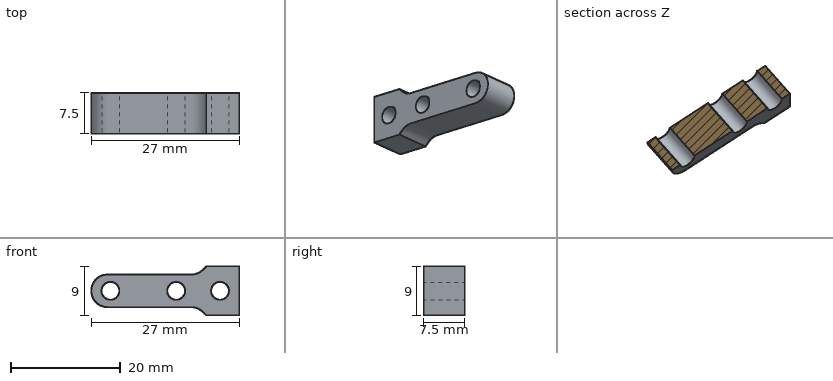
import cadquery as cq
import math

length = 27.0
thickness = 7.5
head_height = 9.0
head_length = 6.0
arm_height = 6.0

nose_radius = arm_height / 2
flare_radius = 3.0
flare_angle = math.radians(45)

hole_diameter = 3.2
hole_positions = [3.5, 15.5, 23.5]

head_start = length - head_length
arm_half = arm_height / 2
head_half = head_height / 2
arc_rise = flare_radius * (1 - math.cos(flare_angle))
arc_run = flare_radius * math.sin(flare_angle)
slope_rise = head_half - arm_half - arc_rise
slope_start = head_start - slope_rise / math.tan(flare_angle)
flare_start = slope_start - arc_run
slope_base = arm_half + arc_rise
arc_mid_x = flare_start + flare_radius * math.sin(flare_angle / 2)
arc_mid_z = arm_half + flare_radius * (1 - math.cos(flare_angle / 2))


def make_body():
    """Extrude the side outline, front face on Y = 0, going toward +Y."""
    return (
        cq.Workplane("XZ")
        .moveTo(nose_radius, arm_half)
        .lineTo(flare_start, arm_half)
        .threePointArc((arc_mid_x, arc_mid_z), (slope_start, slope_base))
        .lineTo(head_start, head_half)
        .lineTo(length, head_half)
        .lineTo(length, -head_half)
        .lineTo(head_start, -head_half)
        .lineTo(slope_start, -slope_base)
        .threePointArc((arc_mid_x, -arc_mid_z), (flare_start, -arm_half))
        .lineTo(nose_radius, -arm_half)
        .threePointArc((0, 0), (nose_radius, arm_half))
        .close()
        .extrude(-thickness)
    )


def make_holes():
    """Pins that cut the row of through holes along Y."""
    return (
        cq.Workplane("XZ")
        .pushPoints([(x, 0) for x in hole_positions])
        .circle(hole_diameter / 2)
        .extrude(-thickness)
    )


result = make_body().cut(make_holes())